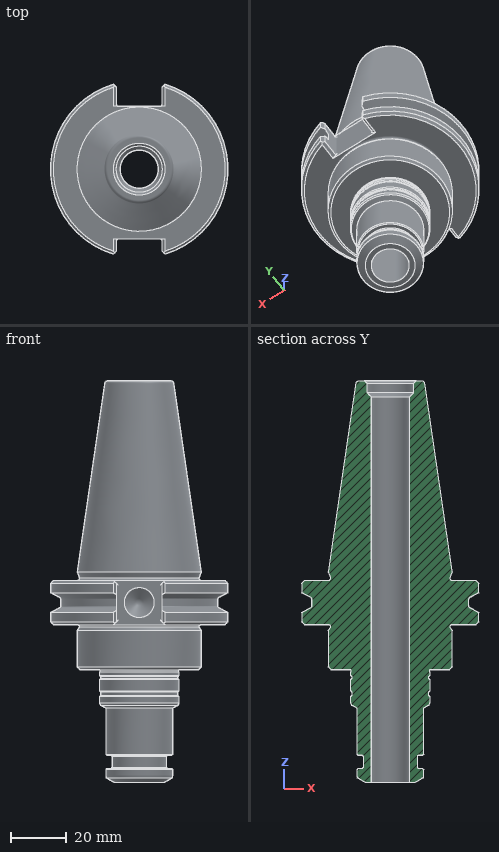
import cadquery as cq
import math

GAUGE_RADIUS = 44.45 / 2
TAPER_LENGTH = 68.4
TAPER_RATE = 7 / 24
SHANK_END_RADIUS = GAUGE_RADIUS - TAPER_LENGTH * TAPER_RATE / 2
SHANK_END_ROUND = 1.2

FLANGE_RADIUS = 63.55 / 2
FLANGE_TOP = -3.0
FLANGE_BOTTOM = -18.9
FLANGE_CHAMFER = 1.05
GROOVE_CENTRE = (FLANGE_TOP + FLANGE_BOTTOM) / 2
GROOVE_RADIUS = 56.25 / 2
GROOVE_FLOOR_HALF_WIDTH = 1.6
GROOVE_MOUTH_HALF_WIDTH = 3.5
GROOVE_FLOOR_ROUND = 0.6

ROOT_FILLET = 0.8
RELIEF_RADIUS = GAUGE_RADIUS - ROOT_FILLET
LOWER_RELIEF_END = -20.9

BODY_BOTTOM = -35.0
BODY_CHAMFER = 1.0

COLLAR_RADIUS = 28.5 / 2
COLLAR_LEAD_TOP = -46.9
COLLAR_LEAD_BOTTOM = -47.7
COLLAR_LEAD_DEPTH = 0.35
COLLAR_BOTTOM = -48.7
COLLAR_RELIEF_DEPTH = 0.15
COLLAR_RELIEF_END = -35.7
RING_GROOVE_DEPTH = 0.4
RING_GROOVE_SIDE_HEIGHT = 0.3
RING_GROOVES = ((-37.1, -38.4), (-42.6, -44.5))

PILOT_RADIUS = 24 / 2
NECK_RADIUS = 19.5 / 2
NECK_TOP = -65.6
NECK_BOTTOM = -70.2
NECK_EDGE_CHAMFER = 0.4
NECK_CORNER = 0.35
PART_BOTTOM = TAPER_LENGTH - 143.75
TIP_RADIUS = 17.8 / 2
TIP_ANGLE = 30
TIP_LEAD_HEIGHT = 2.5
TIP_LEAD_DEPTH = 0.15

BORE_RADIUS = 13.53 / 2
COUNTERBORE_RADIUS = 16.5 / 2
COUNTERBORE_DEPTH = 4.3
MOUTH_CHAMFER = 1.0

SLOT_WIDTH = 16.1
SLOT_CHAMFER = 1.2
SLOT_CORNER_RADIUS = 0.5
FRONT_SLOT_FLOOR = 25.0
BACK_SLOT_FLOOR = 22.5

DIMPLE_RADIUS = 10.7 / 2
DIMPLE_DEPTH = 7.0
DRILL_POINT_ANGLE = 118


def revolve_profile(points):
    """Turn a closed (radius, height) outline about the Z axis."""
    return cq.Workplane("XZ").polyline(points).close().revolve(360, (0, 0), (0, 1))


def taper_and_flange():
    """Taper shank and V-grooved flange as one turned blank."""
    outline = cq.Workplane("XZ").polyline([
        (0, FLANGE_BOTTOM),
        (0, TAPER_LENGTH),
        (SHANK_END_RADIUS, TAPER_LENGTH),
        (GAUGE_RADIUS, 0),
        (RELIEF_RADIUS, FLANGE_TOP + ROOT_FILLET),
    ])
    outline = outline.radiusArc((GAUGE_RADIUS, FLANGE_TOP), -ROOT_FILLET)
    outline = outline.polyline([
        (FLANGE_RADIUS - FLANGE_CHAMFER, FLANGE_TOP),
        (FLANGE_RADIUS, FLANGE_TOP - FLANGE_CHAMFER),
        (FLANGE_RADIUS, GROOVE_CENTRE + GROOVE_MOUTH_HALF_WIDTH),
        (GROOVE_RADIUS, GROOVE_CENTRE + GROOVE_FLOOR_HALF_WIDTH),
        (GROOVE_RADIUS, GROOVE_CENTRE - GROOVE_FLOOR_HALF_WIDTH),
        (FLANGE_RADIUS, GROOVE_CENTRE - GROOVE_MOUTH_HALF_WIDTH),
        (FLANGE_RADIUS, FLANGE_BOTTOM + FLANGE_CHAMFER),
        (FLANGE_RADIUS - FLANGE_CHAMFER, FLANGE_BOTTOM),
    ], includeCurrent=True)
    blank = outline.close().revolve(360, (0, 0), (0, 1))
    blank = blank.faces(">Z").edges().fillet(SHANK_END_ROUND)
    reach = (GROOVE_FLOOR_HALF_WIDTH + GROOVE_MOUTH_HALF_WIDTH) / 2
    groove_floor_edges = cq.selectors.BoxSelector(
        (-BORE_RADIUS, -BORE_RADIUS, GROOVE_CENTRE - reach),
        (BORE_RADIUS, BORE_RADIUS, GROOVE_CENTRE + reach),
    )
    return blank.edges(groove_floor_edges).fillet(GROOVE_FLOOR_ROUND)


def arbor():
    """Turned body, collar, pilot and retaining neck below the flange."""
    collar_neck = COLLAR_RADIUS - COLLAR_RELIEF_DEPTH
    pilot_edge = PILOT_RADIUS - NECK_EDGE_CHAMFER
    tip_edge = PILOT_RADIUS - TIP_LEAD_DEPTH
    tip_height = (tip_edge - TIP_RADIUS) * math.tan(math.radians(TIP_ANGLE))
    outline = cq.Workplane("XZ").polyline([
        (0, PART_BOTTOM),
        (0, FLANGE_BOTTOM),
        (GAUGE_RADIUS, FLANGE_BOTTOM),
    ])
    outline = outline.radiusArc((RELIEF_RADIUS, FLANGE_BOTTOM - ROOT_FILLET), -ROOT_FILLET)
    outline = outline.polyline([
        (GAUGE_RADIUS, LOWER_RELIEF_END),
        (GAUGE_RADIUS, BODY_BOTTOM + BODY_CHAMFER),
        (GAUGE_RADIUS - BODY_CHAMFER, BODY_BOTTOM),
        (collar_neck, BODY_BOTTOM),
        (collar_neck, COLLAR_RELIEF_END),
        (COLLAR_RADIUS, COLLAR_RELIEF_END - COLLAR_RELIEF_DEPTH),
        (COLLAR_RADIUS, COLLAR_LEAD_TOP),
        (COLLAR_RADIUS - COLLAR_LEAD_DEPTH, COLLAR_LEAD_BOTTOM),
        (PILOT_RADIUS, COLLAR_BOTTOM),
        (PILOT_RADIUS, NECK_TOP + NECK_EDGE_CHAMFER),
        (pilot_edge, NECK_TOP),
        (NECK_RADIUS + NECK_CORNER, NECK_TOP),
        (NECK_RADIUS, NECK_TOP - NECK_CORNER),
        (NECK_RADIUS, NECK_BOTTOM + NECK_CORNER),
        (NECK_RADIUS + NECK_CORNER, NECK_BOTTOM),
        (pilot_edge, NECK_BOTTOM),
        (PILOT_RADIUS, NECK_BOTTOM - NECK_EDGE_CHAMFER),
        (PILOT_RADIUS, PART_BOTTOM + TIP_LEAD_HEIGHT),
        (tip_edge, PART_BOTTOM + tip_height),
        (TIP_RADIUS, PART_BOTTOM),
    ], includeCurrent=True)
    return outline.close().revolve(360, (0, 0), (0, 1))


def ring_groove(top, bottom):
    """Shallow groove around the collar with sloping sides."""
    floor_radius = COLLAR_RADIUS - RING_GROOVE_DEPTH
    return revolve_profile([
        (COLLAR_RADIUS, top),
        (floor_radius, top - RING_GROOVE_SIDE_HEIGHT),
        (floor_radius, bottom + RING_GROOVE_SIDE_HEIGHT),
        (COLLAR_RADIUS, bottom),
    ])


def bore():
    """Through bore with a chamfered counterbore and a conical seat at the shank end."""
    seat_end = TAPER_LENGTH - COUNTERBORE_DEPTH - (COUNTERBORE_RADIUS - BORE_RADIUS)
    return revolve_profile([
        (0, TAPER_LENGTH),
        (COUNTERBORE_RADIUS + MOUTH_CHAMFER, TAPER_LENGTH),
        (COUNTERBORE_RADIUS, TAPER_LENGTH - MOUTH_CHAMFER),
        (COUNTERBORE_RADIUS, TAPER_LENGTH - COUNTERBORE_DEPTH),
        (BORE_RADIUS, seat_end),
        (BORE_RADIUS, PART_BOTTOM),
        (0, PART_BOTTOM),
    ])


def slot(side, floor):
    """Drive slot through the flange on one side (-1 or +1 along Y), its edges bevelled."""
    height = FLANGE_TOP - FLANGE_BOTTOM
    half = SLOT_WIDTH / 2
    wide = half + SLOT_CHAMFER
    bevel_top = FLANGE_TOP - SLOT_CHAMFER
    bevel_bottom = FLANGE_BOTTOM + SLOT_CHAMFER
    section = cq.Workplane("XZ").polyline([
        (-wide, FLANGE_TOP),
        (wide, FLANGE_TOP),
        (half, bevel_top),
        (half, bevel_bottom),
        (wide, FLANGE_BOTTOM),
        (-wide, FLANGE_BOTTOM),
        (-half, bevel_bottom),
        (-half, bevel_top),
    ]).close()
    channel = section.extrude(-side * (FLANGE_RADIUS - floor))
    floor_face = "<Y" if side > 0 else ">Y"
    channel = channel.faces(floor_face).edges("|Z").fillet(SLOT_CORNER_RADIUS)
    channel = channel.translate((0, side * floor, 0))
    corner = math.sqrt(FLANGE_RADIUS ** 2 - wide ** 2)
    flare = cq.Workplane("XY").workplane(offset=FLANGE_BOTTOM).polyline([
        (-half, side * (corner - SLOT_CHAMFER)),
        (half, side * (corner - SLOT_CHAMFER)),
        (wide, side * corner),
        (wide, side * FLANGE_RADIUS),
        (-wide, side * FLANGE_RADIUS),
        (-wide, side * corner),
    ]).close().extrude(height)
    return channel.union(flare)


def dimple():
    """Blind drilled hole along Y, entering through the -Y slot floor."""
    point = DIMPLE_RADIUS / math.tan(math.radians(DRILL_POINT_ANGLE / 2))
    outline = [
        (0, 0),
        (DIMPLE_RADIUS, 0),
        (DIMPLE_RADIUS, DIMPLE_DEPTH),
        (0, DIMPLE_DEPTH + point),
    ]
    drill = cq.Workplane("XY").polyline(outline).close().revolve(360, (0, 0), (0, 1))
    return drill.translate((0, -FRONT_SLOT_FLOOR, GROOVE_CENTRE))


result = taper_and_flange().union(arbor())
for groove_top, groove_bottom in RING_GROOVES:
    result = result.cut(ring_groove(groove_top, groove_bottom))
result = result.cut(bore())
result = result.cut(slot(-1, FRONT_SLOT_FLOOR)).cut(slot(1, BACK_SLOT_FLOOR))
result = result.cut(dimple())